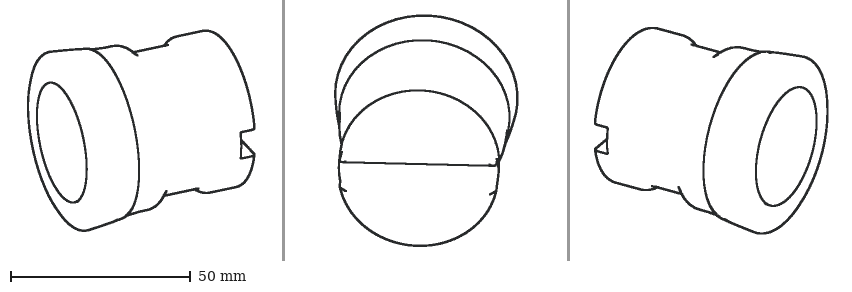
import cadquery as cq
import math

overall_length = 50.02
max_radius = 50.8 / 2

dish_floor_radius = 11.5
dish_floor_depth = 3.3
dish_cone_angle = 15
dish_wall_radius = 17.0
dish_wall_top_depth = 0.5
dish_corner_fillet = 0.95
dish_lip = (19.2, 0.06)

rim_crown = [(20.43, 0.0), (20.9, 0.015), (21.35, 0.04), (21.83, 0.085), (23.04, 0.45)]
rim_round = 1.1
rim_round_angle = 57
rim_edge_distance = 2.46

skirt_bands = [(24.93, 7.04), (24.54, 10.3), (24.48, 10.45), (24.24, 12.35), (24.2, 12.7)]
shoulder_round = 0.83
shoulder_round_angle = 66

collar_radius = 46.64 / 2
collar_start = 18.7
collar_end = 21.1
collar_round = 3.2
neck_radius = 40.85 / 2
neck_front_fillet = 2.0
flank_angle = 45

ring_radius = 44.45 / 2
neck_end = 37.05
ring_start = 40.46
ring_edge_fillet = 1.75

slot_width = 8.3
slot_depth = 4.85
slot_root_fillet = 0.4
slot_mouth_fillet = 0.6


def arc_middle(center, radius, start_angle, end_angle):
    """Point halfway along an arc, angles in degrees."""
    angle = math.radians((start_angle + end_angle) / 2)
    return (center[0] + radius * math.cos(angle), center[1] + radius * math.sin(angle))


def arc_point(center, radius, angle):
    """Point on an arc at one angle in degrees."""
    return arc_middle(center, radius, angle, angle)


def add_dish(profile):
    """Floor, cone, rounded corner, wall and lip of the front dish."""
    corner_center_radius = dish_wall_radius - dish_corner_fillet
    cone_slope = math.radians(dish_cone_angle)
    tangent_radius = corner_center_radius + dish_corner_fillet * math.sin(cone_slope)
    tangent_depth = dish_floor_depth - (tangent_radius - dish_floor_radius) * math.tan(cone_slope)
    center = (corner_center_radius, tangent_depth - dish_corner_fillet * math.cos(cone_slope))
    return (
        profile.lineTo(dish_floor_radius, dish_floor_depth)
        .lineTo(tangent_radius, tangent_depth)
        .threePointArc(
            arc_middle(center, dish_corner_fillet, 90 - dish_cone_angle, 0),
            arc_point(center, dish_corner_fillet, 0),
        )
        .lineTo(dish_wall_radius, dish_wall_top_depth)
        .lineTo(*dish_lip)
    )


def add_rim_and_skirt(profile):
    """Crowned rim, tapered bands and shoulder."""
    for corner in rim_crown:
        profile = profile.lineTo(*corner)
    rim_center = (max_radius - rim_round, rim_edge_distance)
    profile = profile.lineTo(*arc_point(rim_center, rim_round, -rim_round_angle)).threePointArc(
        arc_middle(rim_center, rim_round, -rim_round_angle, 0), (max_radius, rim_edge_distance)
    )
    for corner in skirt_bands:
        profile = profile.lineTo(*corner)
    shoulder_radius, shoulder_distance = skirt_bands[-1]
    shoulder_center = (shoulder_radius - shoulder_round, shoulder_distance)
    return profile.threePointArc(
        arc_middle(shoulder_center, shoulder_round, 0, shoulder_round_angle),
        arc_point(shoulder_center, shoulder_round, shoulder_round_angle),
    )


def add_collar_and_flank(profile):
    """Cylindrical collar, rounded edge, straight flank and fillet into the neck."""
    round_center = (collar_radius - collar_round, collar_end)
    flank_top = arc_point(round_center, collar_round, flank_angle)

    fillet_center_radius = neck_radius + neck_front_fillet
    flank_foot_radius = arc_point((fillet_center_radius, 0), neck_front_fillet, 180 + flank_angle)[0]
    flank_length = (flank_top[0] - flank_foot_radius) / math.tan(math.radians(flank_angle))
    flank_foot = (flank_foot_radius, flank_top[1] + flank_length)
    fillet_rise = neck_front_fillet * math.sin(math.radians(flank_angle))
    fillet_center = (fillet_center_radius, flank_foot[1] + fillet_rise)
    return (
        profile.lineTo(collar_radius, collar_start)
        .lineTo(collar_radius, collar_end)
        .threePointArc(arc_middle(round_center, collar_round, 0, flank_angle), flank_top)
        .lineTo(*flank_foot)
        .threePointArc(
            arc_middle(fillet_center, neck_front_fillet, 180 + flank_angle, 180),
            arc_point(fillet_center, neck_front_fillet, 180),
        )
    )


def add_neck_and_ring(profile):
    """Neck, S-shaped transition, rear ring and its rounded rear edge."""
    transition_middle = ((neck_radius + ring_radius) / 2, (neck_end + ring_start) / 2)
    ring_edge_center = (ring_radius - ring_edge_fillet, overall_length - ring_edge_fillet)
    return (
        profile.lineTo(neck_radius, neck_end)
        .tangentArcPoint(transition_middle, relative=False)
        .tangentArcPoint((ring_radius, ring_start), relative=False)
        .lineTo(ring_radius, ring_edge_center[1])
        .threePointArc(
            arc_middle(ring_edge_center, ring_edge_fillet, 0, 90),
            arc_point(ring_edge_center, ring_edge_fillet, 90),
        )
    )


def make_body():
    """Revolve the whole profile about the Y axis."""
    profile = cq.Workplane("XY").moveTo(0, dish_floor_depth)
    profile = add_dish(profile)
    profile = add_rim_and_skirt(profile)
    profile = add_collar_and_flank(profile)
    profile = add_neck_and_ring(profile)
    return profile.lineTo(0, overall_length).close().revolve(360, (0, 0, 0), (0, 1, 0))


def make_slot_cutter():
    """Slot running along X, with rounded root corners and a rounded mouth."""
    half_width = slot_width / 2
    mouth_half_width = half_width + slot_mouth_fillet
    mouth_start = overall_length - slot_mouth_fillet
    root = overall_length - slot_depth
    mouth_middle = arc_middle((mouth_start, mouth_half_width), slot_mouth_fillet, 270, 360)
    slot = (
        cq.Workplane("YZ")
        .moveTo(root, -half_width)
        .lineTo(mouth_start, -half_width)
        .threePointArc((mouth_middle[0], -mouth_middle[1]), (overall_length, -mouth_half_width))
        .lineTo(overall_length, mouth_half_width)
        .threePointArc(mouth_middle, (mouth_start, half_width))
        .lineTo(root, half_width)
        .close()
        .extrude(max_radius, both=True)
    )
    return slot.faces("<Y").edges("|X").fillet(slot_root_fillet)


result = make_body().cut(make_slot_cutter())